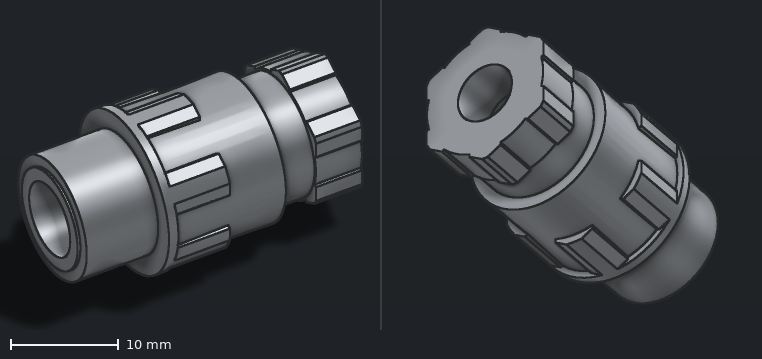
import cadquery as cq
import math

TOTAL_LENGTH = 29.85
TUBE_START = 0.3
SLEEVE_START = 8.0
FLANGE_END = 9.0
RIBS_END = 14.98
SLEEVE_END = 21.0
NUT_START = 24.87

INSERT_RADIUS = 5.1
INSERT_FRONT_BORE_RADIUS = 3.75
INSERT_REAR_BORE_RADIUS = 3.5
TUBE_RADIUS = 6.27

FLANGE_DIAMETER = 16.5
FLANGE_RADIUS = FLANGE_DIAMETER / 2
BARREL_END_RADIUS = 7.55
BARREL_WAIST_RADIUS = 7.43
SLEEVE_HEX_FLATS = 15.07
SLEEVE_RIB_WIDTH = 4.1

NUT_BORE_RADIUS = 3.0
NUT_BODY_RADIUS = 6.5
NUT_RIB_RADIUS = 7.37
NUT_HEX_FLATS = 13.07
NUT_RIB_WIDTH = 3.5

RIB_COUNT = 6


def plane_at(y):
    """Plane square to the Y axis at station y, with its normal along +Y and its local x along +Z."""
    return cq.Workplane(cq.Plane(origin=(0, y, 0), xDir=(0, 0, 1), normal=(0, 1, 0)))


def cylinder(radius, start, end):
    return plane_at(start).circle(radius).extrude(end - start)


def ring(outer_radius, inner_radius, start, end):
    return plane_at(start).circle(outer_radius).circle(inner_radius).extrude(end - start)


def gripping_ribs(tip_radius, hex_flats, rib_width, start, end):
    """Hexagon corners rounded to tip_radius, cut down to parallel-sided ribs, one of them along +Z."""
    length = end - start
    hex_corner_diameter = hex_flats / math.cos(math.pi / RIB_COUNT)
    hexagon = plane_at(start).polygon(RIB_COUNT, hex_corner_diameter).extrude(length)
    rounded_hexagon = hexagon.intersect(cylinder(tip_radius, start, end))

    bars = plane_at(start).rect(2 * tip_radius, rib_width).extrude(length)
    for index in range(1, RIB_COUNT // 2):
        bar = plane_at(start).rect(2 * tip_radius, rib_width).extrude(length)
        bars = bars.union(bar.rotate((0, 0, 0), (0, 1, 0), index * 360 / RIB_COUNT))
    return rounded_hexagon.intersect(bars)


def make_insert():
    """Liner with a bore that narrows evenly towards the nut."""
    return (
        cq.Workplane("YZ")
        .moveTo(0, INSERT_FRONT_BORE_RADIUS)
        .lineTo(0, INSERT_RADIUS)
        .lineTo(NUT_START, INSERT_RADIUS)
        .lineTo(NUT_START, INSERT_REAR_BORE_RADIUS)
        .close()
        .revolve(360, (0, 0, 0), (1, 0, 0))
    )


def make_tube():
    return ring(TUBE_RADIUS, INSERT_RADIUS, TUBE_START, NUT_START)


def make_sleeve():
    """Concave barrel around the tube, with a front flange and ribs that stand on the flange."""
    barrel_middle = (FLANGE_END + SLEEVE_END) / 2
    barrel = (
        cq.Workplane("YZ")
        .moveTo(FLANGE_END, 0)
        .lineTo(FLANGE_END, BARREL_END_RADIUS)
        .threePointArc((barrel_middle, BARREL_WAIST_RADIUS), (SLEEVE_END, BARREL_END_RADIUS))
        .lineTo(SLEEVE_END, 0)
        .close()
        .revolve(360, (0, 0, 0), (1, 0, 0))
    )
    flange = cylinder(FLANGE_RADIUS, SLEEVE_START, FLANGE_END)
    ribs = gripping_ribs(FLANGE_RADIUS, SLEEVE_HEX_FLATS, SLEEVE_RIB_WIDTH, FLANGE_END, RIBS_END)
    tube_hole = cylinder(TUBE_RADIUS, SLEEVE_START, SLEEVE_END)
    return barrel.union(flange).union(ribs).cut(tube_hole)


def make_nut():
    """Ribbed nut that closes the rear end of the tube and the insert."""
    body = cylinder(NUT_BODY_RADIUS, NUT_START, TOTAL_LENGTH)
    ribs = gripping_ribs(NUT_RIB_RADIUS, NUT_HEX_FLATS, NUT_RIB_WIDTH, NUT_START, TOTAL_LENGTH)
    bore = cylinder(NUT_BORE_RADIUS, NUT_START, TOTAL_LENGTH)
    return body.union(ribs).cut(bore)


insert = make_insert()
tube = make_tube()
sleeve = make_sleeve()
nut = make_nut()

result = cq.Compound.makeCompound([insert.val(), tube.val(), sleeve.solids().val(), nut.solids().val()])